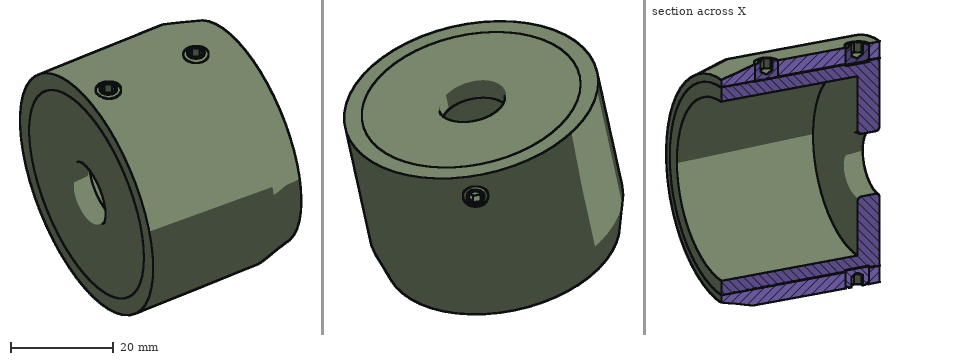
import cadquery as cq
import math

overall_height = 50.85
length = 35.0

housing_diameter = 50.5
taper_length = 7.0
taper_angle = 15.0
rear_diameter = housing_diameter - 2 * taper_length * math.tan(math.radians(taper_angle))

cup_diameter = 43.5
cavity_diameter = 37.5
end_wall = 5.0
bore_diameter = 13.0
bore_fillet = 0.95
groove_diameter = 42.8

screw_diameter = 5.0
screw_face_diameter = 3.45
screw_chamfer_width = (screw_diameter - screw_face_diameter) / 2
screw_chamfer_angle = 30.0
screw_chamfer_height = screw_chamfer_width * math.tan(math.radians(screw_chamfer_angle))
socket_flats = 2.5
socket_depth = 2.05
socket_cone_angle = 30.0
front_screw_y = 5.0
screw_spacing = 20.0
upper_front_lift = 0.15
rear_screw_y = front_screw_y + screw_spacing
groove_radius = groove_diameter / 2
cup_radius = cup_diameter / 2
screw_length = (overall_height - groove_radius - cup_radius) / 2

screw_seats = [
    (front_screw_y, groove_radius + upper_front_lift, 1),
    (front_screw_y, groove_radius, -1),
    (rear_screw_y, cup_radius, 1),
]


def cylinder_along_y(diameter, start, depth):
    """Solid cylinder on the Y axis running from start toward +Y."""
    base = cq.Workplane("XZ", origin=(0, start, 0))
    return base.circle(diameter / 2).extrude(-depth)


def place_on_seat(body, seat):
    """Move a body whose tip is at Z = 0 onto its seat, pointing outward."""
    seat_y, seat_radius, direction = seat
    if direction < 0:
        body = body.rotate((0, 0, 0), (1, 0, 0), 180)
    return body.translate((0, seat_y, direction * seat_radius))


def make_housing():
    profile = [
        (cup_radius, 0),
        (housing_diameter / 2, 0),
        (housing_diameter / 2, length - taper_length),
        (rear_diameter / 2, length),
        (cup_radius, length),
    ]
    housing = cq.Workplane("XY").polyline(profile).close().revolve(360, (0, 0, 0), (0, 1, 0))
    for seat in screw_seats:
        screw_hole = cq.Workplane("XY").circle(screw_diameter / 2).extrude(housing_diameter / 2)
        housing = housing.cut(place_on_seat(screw_hole, seat))
    return housing


def make_cup():
    cup = cylinder_along_y(cup_diameter, 0, length)
    cup = cup.cut(cylinder_along_y(cavity_diameter, end_wall, length - end_wall))

    cup = cup.cut(cylinder_along_y(bore_diameter, 0, end_wall))
    bore_edges = cq.selectors.RadiusNthSelector(0)
    cup = cup.edges("%CIRCLE").edges(bore_edges).fillet(bore_fillet)

    groove_start = front_screw_y - screw_diameter / 2
    groove = cylinder_along_y(cup_diameter, groove_start, screw_diameter)
    groove_floor = cylinder_along_y(groove_diameter, groove_start, screw_diameter)
    return cup.cut(groove.cut(groove_floor))


def make_screw(seat):
    screw = cq.Workplane("XY").circle(screw_diameter / 2).extrude(screw_length)
    screw = screw.faces(">Z").chamfer(screw_chamfer_height, screw_chamfer_width)

    socket_floor = screw_length - socket_depth
    socket_corners = socket_flats / math.cos(math.pi / 6)
    cone_radius = socket_corners / 2
    cone_height = cone_radius * math.tan(math.radians(socket_cone_angle))
    hexagon = cq.Workplane("XY", origin=(0, 0, socket_floor - cone_height)).polygon(6, socket_corners)
    socket = hexagon.extrude(cone_height + socket_depth)
    cone_tip = cq.Solid.makeCone(0, cone_radius, cone_height, pnt=cq.Vector(0, 0, socket_floor - cone_height))
    opening = cq.Workplane("XY", origin=(0, 0, socket_floor)).circle(cone_radius).extrude(socket_depth)
    socket = socket.intersect(opening.union(cq.Workplane(cone_tip)))
    screw = screw.cut(socket)
    return place_on_seat(screw, seat)


housing = make_housing()
cup = make_cup()
screws = [make_screw(seat).val() for seat in screw_seats]

result = cq.Compound.makeCompound([housing.val(), cup.val(), *screws])